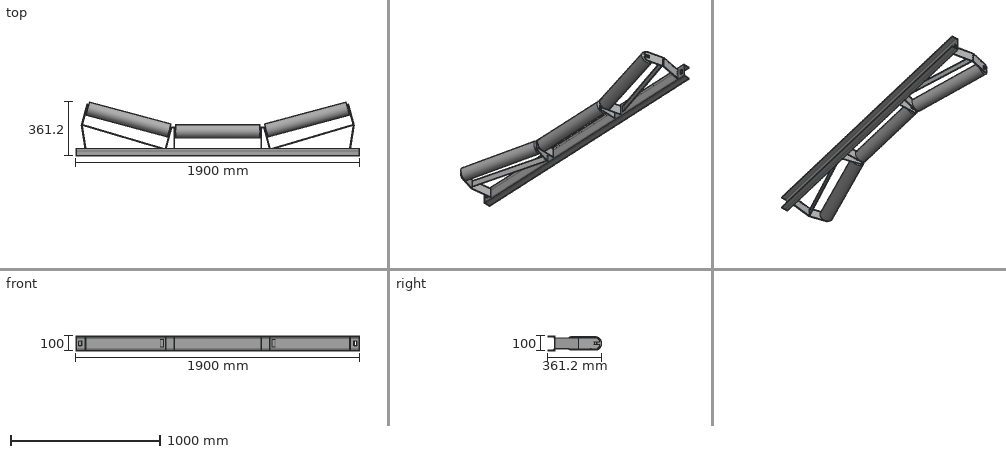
import cadquery as cq
import math

CHANNEL_LENGTH = 1900.0
CHANNEL_HEIGHT = 100.0
CHANNEL_DEPTH = 50.0
CHANNEL_WALL = 6.0
CHANNEL_FILLET = 11.0
MOUNT_HOLE_WIDTH = 19.0
MOUNT_HOLE_HEIGHT = 30.0
MOUNT_HOLE_END_DISTANCE = 28.0

ROLLER_DIAMETER = 91.0
ROLLER_LENGTH = 566.0
ROLLER_END_GAP = 5.0
SHAFT_SIZE = 17.0
CENTRE_ROLLER_Y = 114.0
WING_ROLLER_X = 598.0
WING_ROLLER_Y = 194.0
WING_ANGLE = 15.0

BRACKET_WIDTH = 75.0
INNER_BRACKET_TOP = 142.0
INNER_BRACKET_THICKNESS = 5.0
OUTER_BRACKET_THICKNESS = 8.0
OUTER_BRACKET_TIP = 28.0
OUTER_BRACKET_BEND = 118.0
OUTER_BRACKET_FOOT_ANGLE = 9.0
OUTER_BRACKET_CHAMFER = 17.0
STRUT_WIDTH = 50.0
STRUT_THICKNESS = 5.0
STRUT_FOOT_X = 384.0

COS_WING = math.cos(math.radians(WING_ANGLE))
SIN_WING = math.sin(math.radians(WING_ANGLE))
TAN_WING = math.tan(math.radians(WING_ANGLE))
TAN_FOOT = math.tan(math.radians(OUTER_BRACKET_FOOT_ANGLE))
BRACKET_FACE = ROLLER_LENGTH / 2 + ROLLER_END_GAP


def wing_point(along, up):
    """Point on the +X side, measured along the wing roller and square to it from its middle."""
    return (
        WING_ROLLER_X + along * COS_WING - up * SIN_WING,
        WING_ROLLER_Y + along * SIN_WING + up * COS_WING,
    )


def strip(points, width):
    """Flat outline in XY, extruded evenly about Z = 0."""
    return cq.Workplane("XY").polyline(points).close().extrude(width / 2, both=True)


def tilt_to_wing(body):
    """Moves a body built along X about the origin to the +X wing roller position."""
    return body.rotate((0, 0, 0), (0, 0, 1), WING_ANGLE).translate((WING_ROLLER_X, WING_ROLLER_Y, 0))


def make_channel():
    inner_depth = CHANNEL_DEPTH - CHANNEL_WALL
    inner_height = CHANNEL_HEIGHT - 2 * CHANNEL_WALL
    outer = cq.Workplane("XY").box(CHANNEL_LENGTH, CHANNEL_DEPTH, CHANNEL_HEIGHT)
    inner = (
        cq.Workplane("XY")
        .box(CHANNEL_LENGTH, inner_depth, inner_height)
        .edges("|X and >Y")
        .fillet(CHANNEL_FILLET)
        .translate((0, -CHANNEL_WALL / 2, 0))
    )
    holes = (
        cq.Workplane("XY")
        .rarray(CHANNEL_LENGTH - 2 * MOUNT_HOLE_END_DISTANCE, 19, 2, 1)
        .box(MOUNT_HOLE_WIDTH, CHANNEL_DEPTH, MOUNT_HOLE_HEIGHT)
    )
    return outer.cut(inner).cut(holes).translate((0, -CHANNEL_DEPTH / 2, 0))


def make_roller(inner_plate, outer_plate):
    """Roller along X about the origin; its square shaft ends fill the bracket plates on both sides."""
    shaft_start = -BRACKET_FACE - inner_plate
    shaft_end = BRACKET_FACE + outer_plate
    drum = (
        cq.Workplane("YZ", origin=(-ROLLER_LENGTH / 2, 0, 0))
        .circle(ROLLER_DIAMETER / 2)
        .extrude(ROLLER_LENGTH)
    )
    shaft = (
        cq.Workplane("YZ", origin=(shaft_start, 0, 0))
        .rect(SHAFT_SIZE, SHAFT_SIZE)
        .extrude(shaft_end - shaft_start)
    )
    return drum.union(shaft)


def make_shaft_slot(face, plate, reach):
    """Cutter for a shaft slot, open upwards, through a plate whose roller-side face is at X = face."""
    middle_x = face + math.copysign(plate / 2, face)
    slot = cq.Workplane("XY").box(plate, SHAFT_SIZE + reach, SHAFT_SIZE)
    return slot.translate((middle_x, reach / 2, 0))


def make_inner_bracket():
    """Inverted U between the middle roller and the +X wing roller."""
    top = INNER_BRACKET_TOP
    thickness = INNER_BRACKET_THICKNESS
    inner_top = top - thickness
    level_x = BRACKET_FACE
    wing_face_x, wing_face_y = wing_point(-BRACKET_FACE, 0)
    wing_foot_x = wing_face_x + wing_face_y * TAN_WING
    inside_foot_x = wing_foot_x - thickness / COS_WING
    blank = strip(
        [
            (level_x, 0),
            (level_x, top),
            (wing_foot_x - top * TAN_WING, top),
            (wing_foot_x, 0),
            (inside_foot_x, 0),
            (inside_foot_x - inner_top * TAN_WING, inner_top),
            (level_x + thickness, inner_top),
            (level_x + thickness, 0),
        ],
        BRACKET_WIDTH,
    )
    reach = top - CENTRE_ROLLER_Y
    level_slot = make_shaft_slot(BRACKET_FACE, thickness, reach).translate((0, CENTRE_ROLLER_Y, 0))
    wing_slot = tilt_to_wing(make_shaft_slot(-BRACKET_FACE, thickness, reach))
    return blank.cut(level_slot).cut(wing_slot)


def outer_bracket_bend():
    """Inside corner of the bend of the +X outer bracket."""
    return wing_point(BRACKET_FACE, -OUTER_BRACKET_BEND)


def make_outer_bracket():
    """Bent plate that carries the outer shaft end of the +X wing roller."""
    thickness = OUTER_BRACKET_THICKNESS
    bend_x, bend_y = outer_bracket_bend()
    foot_x = bend_x - bend_y * TAN_FOOT
    foot_width = thickness / math.cos(math.radians(OUTER_BRACKET_FOOT_ANGLE))
    half_bend = math.radians(WING_ANGLE + OUTER_BRACKET_FOOT_ANGLE) / 2
    outside_bend = wing_point(
        BRACKET_FACE + thickness, -OUTER_BRACKET_BEND - thickness * math.tan(half_bend)
    )
    blank = strip(
        [
            wing_point(BRACKET_FACE, OUTER_BRACKET_TIP),
            (bend_x, bend_y),
            (foot_x, 0),
            (foot_x + foot_width, 0),
            outside_bend,
            wing_point(BRACKET_FACE + thickness, OUTER_BRACKET_TIP),
        ],
        BRACKET_WIDTH,
    )
    tip_edge = cq.Vector(*wing_point(BRACKET_FACE + thickness / 2, OUTER_BRACKET_TIP))
    half_width = cq.Vector(0, 0, BRACKET_WIDTH / 2)
    for corner in (tip_edge + half_width, tip_edge - half_width):
        blank = blank.edges(cq.selectors.NearestToPointSelector(corner.toTuple()))
        blank = blank.chamfer(OUTER_BRACKET_CHAMFER)
    slot = tilt_to_wing(make_shaft_slot(BRACKET_FACE, thickness, OUTER_BRACKET_TIP))
    return blank.cut(slot)


def make_strut():
    """Flat brace from the bend of the +X outer bracket down to the channel."""
    bend_x, bend_y = outer_bracket_bend()
    slope = bend_y / (bend_x - STRUT_FOOT_X)
    foot_inside_x = STRUT_FOOT_X - STRUT_THICKNESS / math.sin(math.atan(slope))
    rise = slope * (bend_x - foot_inside_x) - bend_y
    contact_above_bend = rise / (1 + slope * TAN_WING)
    contact = (bend_x - contact_above_bend * TAN_WING, bend_y + contact_above_bend)
    return strip(
        [(bend_x, bend_y), contact, (foot_inside_x, 0), (STRUT_FOOT_X, 0)],
        STRUT_WIDTH,
    )


def both_sides(body):
    """Solids of a +X body and its mirror image on the -X side."""
    return [body.val(), body.mirror("YZ").val()]


channel = make_channel()
centre_roller = make_roller(INNER_BRACKET_THICKNESS, INNER_BRACKET_THICKNESS).translate(
    (0, CENTRE_ROLLER_Y, 0)
)
wing_roller = tilt_to_wing(make_roller(INNER_BRACKET_THICKNESS, OUTER_BRACKET_THICKNESS))
inner_bracket = make_inner_bracket()
outer_bracket = make_outer_bracket()
strut = make_strut()

result = cq.Compound.makeCompound(
    [
        channel.val(),
        centre_roller.val(),
        *both_sides(wing_roller),
        *both_sides(inner_bracket),
        *both_sides(outer_bracket),
        *both_sides(strut),
    ]
)